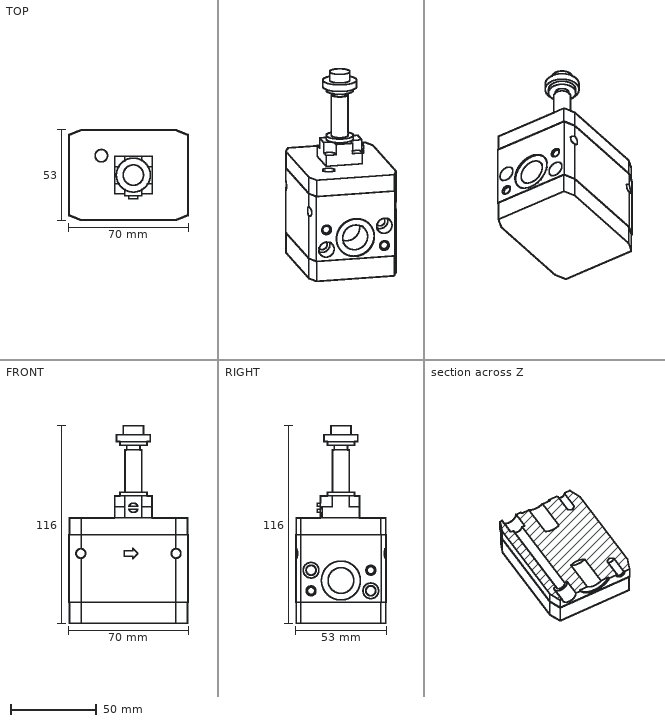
import cadquery as cq
import math

body_width = 70.0
body_depth = 53.0
end_block_width = 69.4
end_block_depth = 52.7
base_height = 12.3
middle_height = 39.7
cover_height = 10.0
middle_corner = (7.2, 2.8)
end_block_corner = (7.0, 2.9)
body_top = base_height + middle_height + cover_height

port_z = 25.2
port_diameter = 15.1
port_depth = 20.0
seal_diameter = 22.9
seal_depth = 0.8
drill_tip_angle = 118

bolt_y = 17.5
bolt_rise = 6.0
bolt_diameter = 5.7
bolt_head_diameter = 9.2
bolt_head_depth = 10.0
blind_diameter = 4.3
blind_chamfer = 0.7
blind_depth = 12.0

mount_x = 28.0
mount_z = 41.1
mount_diameter = 5.5

exhaust_x = -15.9
exhaust_y = 11.4
exhaust_diameter = 7.3
exhaust_depth = 3.1

arrow_x = 1.6
arrow_length = 7.9
arrow_shaft_width = 3.1
arrow_head_length = 3.0
arrow_head_width = 6.1
arrow_depth = 0.2

pilot_x = 2.9
pilot_size = 21.9
pilot_height = 12.9
arm_width = 10.0
notch_floor = 6.6
notch_radius = 3.0
pad_thickness = 1.2
screw_diameter = 5.5
screw_length = 1.9
screw_slot = 1.5
screw_height = 5.9

collar_diameter = 16.0
stem_diameter = 10.0
neck_diameter = 8.0
nut_diameter = 20.0
cap_diameter = 12.0
tube_steps = [
    (collar_diameter, 2.2),
    (stem_diameter, 24.8),
    (neck_diameter, 2.5),
    (collar_diameter, 2.3),
    (nut_diameter, 4.1),
]
total_height = 116


def corner_cut_block(width, depth, corner, bottom, height):
    """Centred block whose four vertical corners are cut by (x, y) legs."""
    half_x = width / 2
    half_y = depth / 2
    cut_x, cut_y = corner
    outline = [
        (half_x, half_y - cut_y),
        (half_x - cut_x, half_y),
        (cut_x - half_x, half_y),
        (-half_x, half_y - cut_y),
        (-half_x, cut_y - half_y),
        (cut_x - half_x, -half_y),
        (half_x - cut_x, -half_y),
        (half_x, cut_y - half_y),
    ]
    return cq.Workplane("XY").workplane(offset=bottom).polyline(outline).close().extrude(height)


def bore_x(y, z, diameter, depth):
    """Cylinder along +X, starting at the -X end face."""
    plane = cq.Workplane("YZ", origin=(-body_width / 2, y, z))
    return plane.circle(diameter / 2).extrude(depth)


def drilled_bore_x(y, z, diameter, depth, mouth_chamfer=0):
    """Blind bore from the -X end face with a conical tip and, if asked for, a chamfered mouth."""
    radius = diameter / 2
    tip_length = radius / math.tan(math.radians(drill_tip_angle / 2))
    profile = [(0, 0), (depth + tip_length, 0), (depth, radius)]
    if mouth_chamfer > 0:
        profile.append((mouth_chamfer, radius))
    profile.append((0, radius + mouth_chamfer))
    plane = cq.Workplane("XY", origin=(-body_width / 2, y, z))
    return plane.polyline(profile).close().revolve(360, (0, 0, 0), (1, 0, 0))


def end_face_cuts():
    """Everything machined into the -X end, except the straight-through bolt bores."""
    cuts = bore_x(0, port_z, seal_diameter, seal_depth)
    cuts = cuts.union(drilled_bore_x(0, port_z, port_diameter, port_depth))
    for side in (-1, 1):
        counterbore_z = port_z - side * bolt_rise
        blind_z = port_z + side * bolt_rise
        cuts = cuts.union(bore_x(side * bolt_y, counterbore_z, bolt_head_diameter, bolt_head_depth))
        blind_bore = drilled_bore_x(side * bolt_y, blind_z, blind_diameter, blind_depth, blind_chamfer)
        cuts = cuts.union(blind_bore)
    return cuts


def flow_arrow():
    half_shaft = arrow_shaft_width / 2
    half_head = arrow_head_width / 2
    tip = arrow_length / 2
    neck = tip - arrow_head_length
    outline = [
        (-tip, -half_shaft),
        (neck, -half_shaft),
        (neck, -half_head),
        (tip, 0),
        (neck, half_head),
        (neck, half_shaft),
        (-tip, half_shaft),
    ]
    plane = cq.Workplane("XZ", origin=(arrow_x, -body_depth / 2, mount_z))
    return plane.polyline(outline).close().extrude(-arrow_depth)


def make_body():
    body = corner_cut_block(end_block_width, end_block_depth, end_block_corner, 0, body_top)
    middle = corner_cut_block(body_width, body_depth, middle_corner, base_height, middle_height)
    body = body.union(middle)

    end_cuts = end_face_cuts()
    body = body.cut(end_cuts)
    body = body.cut(end_cuts.mirror("YZ"))
    for side in (-1, 1):
        body = body.cut(bore_x(side * bolt_y, port_z - side * bolt_rise, bolt_diameter, body_width))
        mount_plane = cq.Workplane("XZ", origin=(side * mount_x, 0, mount_z))
        body = body.cut(mount_plane.circle(mount_diameter / 2).extrude(body_depth, both=True))

    exhaust_plane = cq.Workplane("XY", origin=(exhaust_x, exhaust_y, body_top))
    body = body.cut(exhaust_plane.circle(exhaust_diameter / 2).extrude(-exhaust_depth))
    return body.cut(flow_arrow())


def make_pilot_block():
    """Square block with stepped corners, a front pad and a slotted screw head."""
    grounded = (True, True, False)
    base = cq.Workplane("XY", origin=(pilot_x, 0, body_top))
    block = base.box(pilot_size, pilot_size, notch_floor, centered=grounded)
    cross = base.box(pilot_size, arm_width, pilot_height, centered=grounded)
    cross = cross.union(base.box(arm_width, pilot_size, pilot_height, centered=grounded))
    notch_edges = cq.selectors.BoxSelector(
        (pilot_x - arm_width, -arm_width, body_top),
        (pilot_x + arm_width, arm_width, body_top + pilot_height),
    )
    cross = cross.edges("|Z").edges(notch_edges).fillet(notch_radius)
    block = block.union(cross)

    pad_reach = pilot_size / 2 + pad_thickness
    pad = base.center(0, -pad_reach / 2).box(arm_width, pad_reach, pilot_height, centered=grounded)
    screw_plane = cq.Workplane("XZ", origin=(pilot_x, -pad_reach, body_top + screw_height))
    screw = screw_plane.circle(screw_diameter / 2).extrude(screw_length)
    screw = screw.cut(screw_plane.rect(screw_diameter, screw_slot).extrude(screw_length))
    return block.union(pad).union(screw)


def make_tube():
    """Stepped round tube, closed by a cap that reaches the full height of the part."""
    z = body_top + pilot_height
    tube = None
    for diameter, height in tube_steps:
        step = cq.Workplane("XY", origin=(pilot_x, 0, z)).circle(diameter / 2).extrude(height)
        tube = step if tube is None else tube.union(step)
        z += height
    cap_plane = cq.Workplane("XY", origin=(pilot_x, 0, z))
    return tube.union(cap_plane.circle(cap_diameter / 2).extrude(total_height - z))


result = make_body().union(make_pilot_block()).union(make_tube())